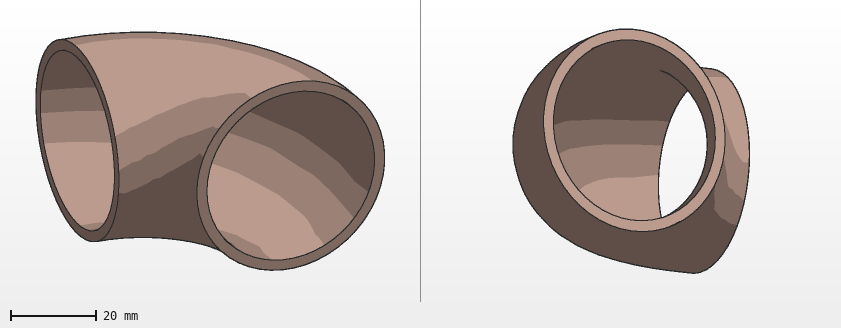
import cadquery as cq

outer_reach = 62.15
pipe_diameter = 48.3
wall_thickness = 2.6
bend_angle = 90.0

outer_radius = pipe_diameter / 2
inner_radius = outer_radius - wall_thickness
bend_radius = outer_reach - outer_radius

pipe_section = (
    cq.Workplane("XZ")
    .center(-bend_radius, 0)
    .circle(outer_radius)
    .circle(inner_radius)
)

result = pipe_section.revolve(bend_angle, (bend_radius, 0), (bend_radius, -1))